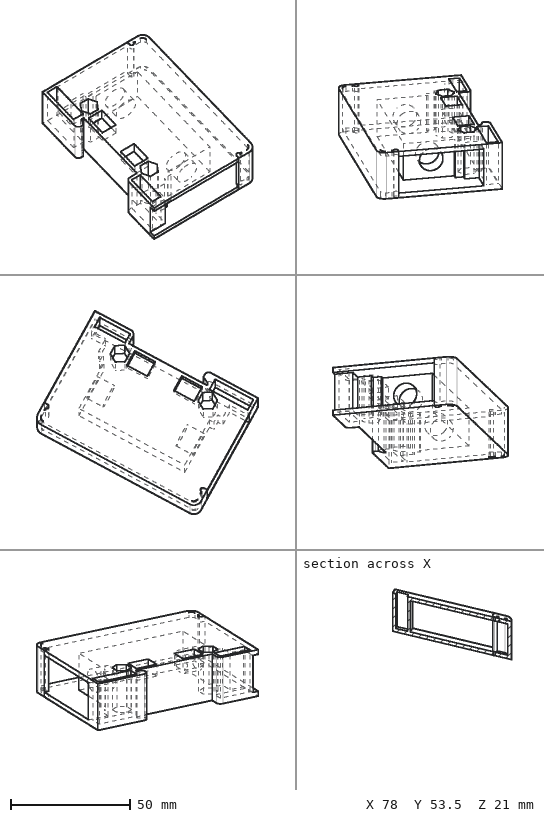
import cadquery as cq
import math

length = 78.0
depth = 53.5
height = 21.0
mid_x = length / 2
corner_radius = 3.5
plate = 2.2

rail_y = 5.45
claw_root_x = 21.5
claw_tip_x = 24.5
claw_top_y = 4.5
claw_tip_y = 3.05
rail_right_x = 58.7
foot_radius = 1.9

lid_wall = 1.6
lid_inner_radius = 1.9
corner_gap = 0.15
hook_reach = 2.6
hook_bottom_y = 44.6
hook_thick = 1.9
hook_radius = 0.85
hook_gap = 0.04
slit_width = 0.2
slit_length = 0.8

bay_bottom_y = 7.95
block_top_y = 39.5
bay_depth = 13.7
bay_ledges = [(bay_bottom_y, 9.35), (14.05, 11.7), (17.6, bay_depth)]
bore_diameter = 10.15
bore_y = 27.5
bore_depth = 7.8
end_notch_depth = 2.6

window_size = (9.75, 7.0)
window_offset = 11.2
window_y = 10.5
window_depth = 5.2
hex_flats = 7.0
hex_turn = 30
hex_offset = 21.0
hex_y = 11.1
foot_pocket_y = 1.55
left_pocket = (1.4, 19.65, 6.55)
right_pocket = (60.3, 74.8, 6.0)
deep_pocket = height - plate


def box(x0, x1, y0, y1, z0, z1):
    """Box between two opposite corners."""
    return cq.Workplane("XY").box(x1 - x0, y1 - y0, z1 - z0, centered=False).translate((x0, y0, z0))


def both_ends(shape):
    """The left-end shape together with its mirror image at the right end."""
    return shape.union(shape.mirror("YZ", (mid_x, 0, 0)))


def case_outline():
    """Full-height case with rounded lid corners, rail recess and hooked foot."""
    body = (
        cq.Workplane("XY")
        .polyline([
            (0, 0), (claw_tip_x, 0), (claw_tip_x, claw_tip_y), (claw_root_x, claw_top_y),
            (claw_root_x, rail_y), (rail_right_x, rail_y), (rail_right_x, 0),
            (length, 0), (length, depth), (0, depth),
        ])
        .close()
        .extrude(height)
    )
    for x in (0, length):
        body = body.edges(cq.NearestToPointSelector((x, depth, height / 2))).fillet(corner_radius)
    for x in (claw_tip_x, rail_right_x):
        body = body.edges(cq.NearestToPointSelector((x, 0, height / 2))).fillet(foot_radius)
    return body


def lid_hook(growth=0.0):
    """Left lid hook, enlarged all round by the given clearance."""
    hook = box(0, hook_reach + growth, hook_bottom_y - growth, hook_bottom_y + hook_thick + growth, 0, height)
    return hook.edges("|Z and >X").fillet(hook_radius + growth)


def cavity():
    """Space between the side plates: lid channel and stepped terminal bays."""
    low_z = plate
    high_z = height - plate
    channel = box(lid_wall, length - lid_wall, block_top_y, depth - lid_wall, low_z, high_z)
    channel = channel.edges("|Z and >Y").fillet(lid_inner_radius)
    bay = box(0, lid_wall, block_top_y, hook_bottom_y, low_z, high_z)
    for ledge_y, ledge_depth in bay_ledges:
        bay = bay.union(box(0, ledge_depth, ledge_y, block_top_y, low_z, high_z))
    bore = (
        cq.Workplane("YZ", origin=(bay_depth, bore_y, height / 2))
        .circle(bore_diameter / 2)
        .extrude(bore_depth)
    )
    notch = box(length - end_notch_depth, length, 0, bay_bottom_y, low_z, high_z)
    return channel.union(both_ends(bay.union(bore))).cut(both_ends(lid_hook())).union(notch)


def hook_clearance():
    """Thin gaps around both lid hooks, each with a short slit above it."""
    slit_y = hook_bottom_y + hook_thick
    gap = lid_hook(hook_gap).cut(lid_hook())
    gap = gap.cut(box(0, lid_wall, slit_y, slit_y + hook_gap, 0, height))
    slit = box(lid_wall, lid_wall + slit_width, slit_y, slit_y + slit_length, 0, height)
    return both_ends(gap.union(slit))


def corner_clearance():
    """Crescent gaps between the rounded lid corners and the side plates."""
    tangent_x = lid_wall + lid_inner_radius
    tangent_y = depth - lid_wall - lid_inner_radius

    def on_diagonal(radius):
        """Point at the given distance from the corner centre, toward the outer corner."""
        step = radius * math.sqrt(0.5)
        return (tangent_x - step, tangent_y + step)

    side_end = (lid_wall, tangent_y)
    top_end = (tangent_x, depth - lid_wall)
    crescent = (
        cq.Workplane("XY")
        .moveTo(*side_end)
        .threePointArc(on_diagonal(lid_inner_radius), top_end)
        .threePointArc(on_diagonal(lid_inner_radius - corner_gap), side_end)
        .close()
        .extrude(height)
    )
    return both_ends(crescent)


def top_pockets():
    """Rectangular windows, hexagonal pockets and foot pockets, all open at the top."""
    top = cq.Workplane("XY", origin=(0, 0, height))
    window = top.center(mid_x - window_offset, window_y).rect(*window_size).extrude(-window_depth)
    hexagon = (
        cq.Workplane("XY")
        .polygon(6, hex_flats / math.cos(math.radians(hex_turn)))
        .extrude(-deep_pocket)
        .rotate((0, 0, 0), (0, 0, 1), hex_turn)
        .translate((mid_x - hex_offset, hex_y, height))
    )
    pockets = both_ends(window.union(hexagon))
    for start_x, end_x, upper_y in (left_pocket, right_pocket):
        pockets = pockets.union(box(start_x, end_x, foot_pocket_y, upper_y, height - deep_pocket, height))
    return pockets


result = (
    case_outline()
    .cut(cavity())
    .cut(hook_clearance())
    .cut(corner_clearance())
    .cut(top_pockets())
)